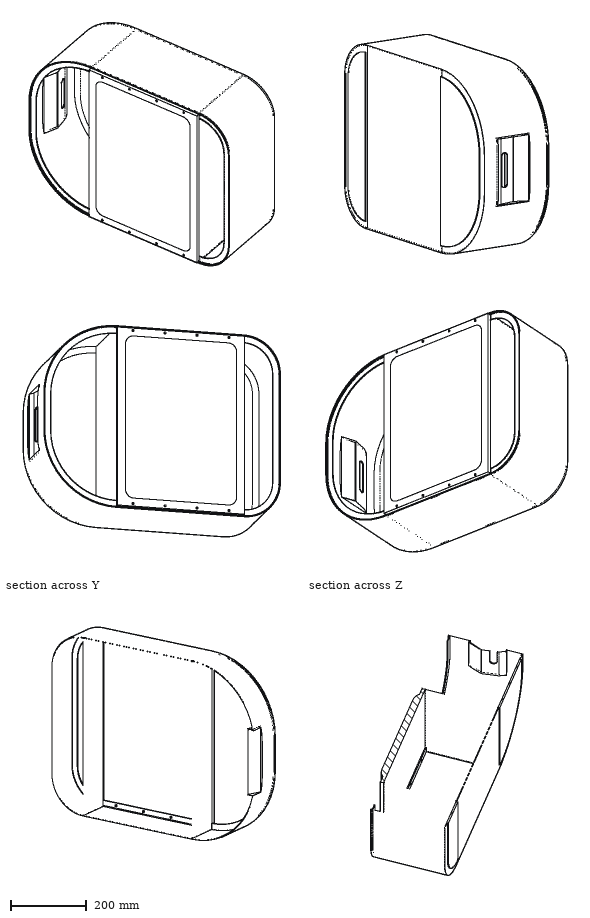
import cadquery as cq
import math

length = 650.0
height = 500.0
depth = 208.0
left_radius = 200.0
right_radius = 100.0
sheet = 3.0

rim_width = 20.0
front_rim_recess = sheet

middle_left = left_radius
middle_right = length - right_radius
middle_x = (middle_left + middle_right) / 2

cover_inset = 5.0
cover_height = height - 2 * cover_inset
cover_projection = 7.0

dome_margin = 22.0
dome_rise = 10.5
dome_radius = 31.0

screw_diameter = 5.0
screw_pitch = 88.0
screws_per_row = 4
screw_edge_distance = 12.5
screw_row_z = height / 2 - screw_edge_distance

pocket_height = 180.0
pocket_front = 62.0
pocket_width = 100.0
pocket_back = pocket_front + pocket_width
pocket_mouth_depth = 5.0
pocket_front_depth = 21.0
pocket_back_depth = 13.5
pocket_front_slope = 38.0
pocket_back_slope = 16.0
slot_width = 20.0
slot_length = 95.0
slot_back_distance = 30.5
slot_y = pocket_back - slot_back_distance
slot_depth = 2 * pocket_front_depth


def block(x_min, x_max, y_min, y_max, block_height):
    """Box between the given X and Y limits, centred on z = 0."""
    box = cq.Workplane("XY").box(x_max - x_min, y_max - y_min, block_height, centered=(False, False, True))
    return box.translate((x_min, y_min, 0))


def outline_solid(inset, front, back):
    """Housing outline shrunk by inset and filled from y = front to y = back."""
    left = inset
    right = length - inset
    top = height / 2 - inset
    left_arc_z = height / 2 - left_radius
    right_arc_z = height / 2 - right_radius
    left_reach = (left_radius - inset) * math.sqrt(0.5)
    right_reach = (right_radius - inset) * math.sqrt(0.5)
    return (
        cq.Workplane("XZ", origin=(0, back, 0))
        .moveTo(middle_left, top)
        .lineTo(middle_right, top)
        .threePointArc((middle_right + right_reach, right_arc_z + right_reach), (right, right_arc_z))
        .lineTo(right, -right_arc_z)
        .threePointArc((middle_right + right_reach, -right_arc_z - right_reach), (middle_right, -top))
        .lineTo(middle_left, -top)
        .threePointArc((middle_left - left_reach, -left_arc_z - left_reach), (left, -left_arc_z))
        .lineTo(left, left_arc_z)
        .threePointArc((middle_left - left_reach, left_arc_z + left_reach), (middle_left, top))
        .close()
        .extrude(back - front)
    )


def outline_ring(outer_inset, inner_inset, front, back):
    """Band between two insets of the housing outline."""
    return outline_solid(outer_inset, front, back).cut(outline_solid(inner_inset, front, back))


def pocket_solid(growth):
    """Handle pocket, with its floor and ends grown inward by the given amount."""
    points = [
        (-sheet, pocket_front - growth),
        (pocket_mouth_depth + growth, pocket_front - growth),
        (pocket_front_depth + growth, pocket_front + pocket_front_slope),
        (pocket_back_depth + growth, pocket_back - pocket_back_slope),
        (pocket_mouth_depth + growth, pocket_back + growth),
        (-sheet, pocket_back + growth),
    ]
    full_height = pocket_height + 2 * growth
    return cq.Workplane("XY", origin=(0, 0, -full_height / 2)).polyline(points).close().extrude(full_height)


def screw_holes():
    first_x = middle_x - screw_pitch * (screws_per_row - 1) / 2
    centers = [
        (first_x + i * screw_pitch, z)
        for i in range(screws_per_row)
        for z in (-screw_row_z, screw_row_z)
    ]
    holes = cq.Workplane("XZ", origin=(0, depth / 2, 0)).pushPoints(centers)
    return holes.circle(screw_diameter / 2).extrude(depth)


def make_housing():
    front_rim_back = front_rim_recess + sheet
    body = outline_ring(0, sheet, 0, depth)
    body = body.union(outline_ring(0, rim_width, front_rim_recess, front_rim_back))
    body = body.union(outline_ring(0, rim_width, depth - sheet, depth))

    interior = outline_solid(sheet / 2, front_rim_recess, depth)
    for x in (middle_left, middle_right - sheet):
        body = body.union(block(x, x + sheet, front_rim_recess, depth, height).intersect(interior))

    floor = outline_solid(rim_width, depth - sheet, depth + sheet)
    floor = floor.cut(block(middle_left, middle_right, depth, depth + sheet, height))
    body = body.union(floor)

    pocket_shell = pocket_solid(sheet).intersect(outline_solid(0, 0, depth))
    slot = cq.Workplane("YZ").center(slot_y, 0).slot2D(slot_length, slot_width, 90).extrude(slot_depth)
    body = body.union(pocket_shell).cut(pocket_solid(0)).cut(slot)

    return body.cut(screw_holes())


def make_dome():
    """Top of a box rounded on all edges, cut off at the cover's front face."""
    dome_run = math.sqrt(dome_radius**2 - (dome_radius - dome_rise) ** 2)
    side = dome_margin + dome_run - dome_radius
    front = -cover_projection - dome_rise
    back = front + 3 * dome_radius
    rounded_box = block(middle_left + side, middle_right - side, front, back, cover_height - 2 * side)
    rounded_box = rounded_box.edges().fillet(dome_radius)
    return rounded_box.intersect(block(0, length, front, -cover_projection, height))


def make_cover():
    plate = block(middle_left, middle_right, -cover_projection, front_rim_recess, cover_height)
    return plate.union(make_dome()).cut(screw_holes())


housing = make_housing()
cover = make_cover()
result = cq.Compound.makeCompound([housing.solids().val(), cover.solids().val()])